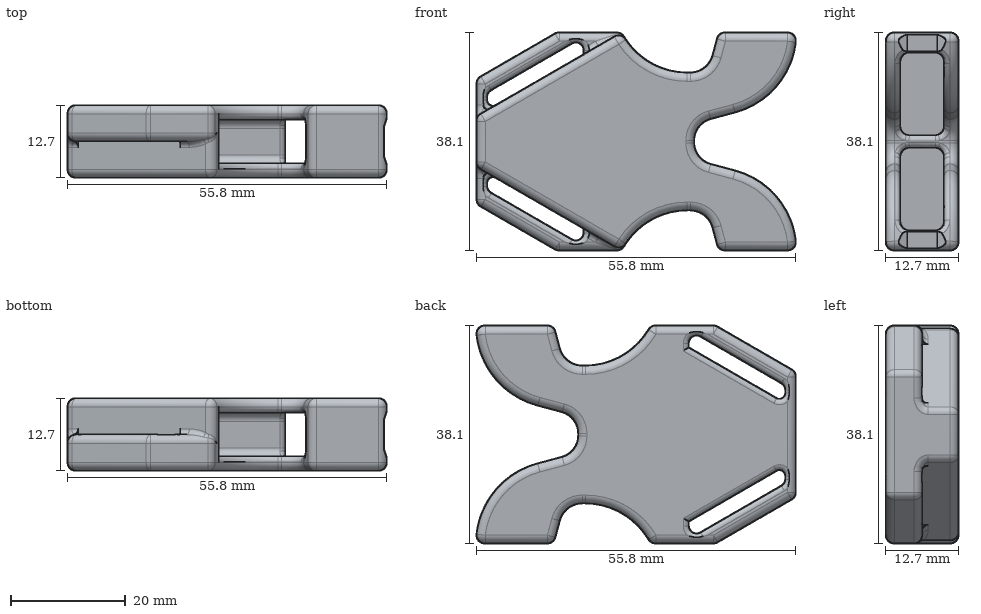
import cadquery as cq
import math

length = 55.8
thickness = 12.7
height = 38.1
half_height = height / 2
half_thickness = thickness / 2

edge_radius = 1.5
small_radius = 1.0
tolerance = 0.005

slope = math.radians(30)
frame_corner_x = 14.05
frame_corner_z = half_height - frame_corner_x * math.tan(slope)
core_corner_z = 4.4
core_strap_end = [(0, core_corner_z)]
frame_strap_end = [(0, frame_corner_z), (frame_corner_x, half_height)]
shoulder_x = (half_height - core_corner_z) / math.tan(slope)

blend_length = 4.45
blend_top_z = 7.8

slot_start_x = 1.9
slot_end_x = 18.7
rail_width = 3.0
slot_outer_radius = 1.35

lean = math.radians(15)
waist_z = 12.05
waist_start_x = 36.75
waist_end_x = 37.3
waist_radius = 4.0
hook_radius = 14.5
hook_center_x = length - edge_radius - math.sqrt((hook_radius - edge_radius) ** 2 - edge_radius**2)
hook_center = (hook_center_x, half_height)
hook_tip_x = hook_center_x + hook_radius
notch_x = 38.05
notch_radius = 3.8

hollow_half_width = 3.8
hollow_start_x = 26.4
hollow_roof_z = 15.5
web_half_height = 1.1

relief_depth = 0.5
relief_half_width = 4.15
relief_floor_half_width = 2.6


def arc_point(center, radius, angle):
    """Point on a circle in the XZ plane, angle measured from +X towards +Z."""
    return (center[0] + radius * math.cos(angle), center[1] + radius * math.sin(angle))


shoulder_run = waist_start_x - shoulder_x
shoulder_drop = half_height - waist_z
shoulder_radius = (shoulder_run**2 + shoulder_drop**2) / (2 * shoulder_drop)
shoulder_center = (waist_start_x, waist_z + shoulder_radius)
shoulder_sweep = math.asin(shoulder_run / shoulder_radius)
shoulder_mid = arc_point(shoulder_center, shoulder_radius, -(math.pi + shoulder_sweep) / 2)

waist_center = (waist_end_x, waist_z + waist_radius)
waist_mid = arc_point(waist_center, waist_radius, -(math.pi / 2 + lean) / 2)
waist_end = arc_point(waist_center, waist_radius, -lean)
prong_x = waist_end[0] + (half_height - waist_end[1]) * math.tan(lean)

hook_mid = arc_point(hook_center, hook_radius, -(math.pi / 2 - lean) / 2)
hook_end = arc_point(hook_center, hook_radius, lean - math.pi / 2)

notch_center_x = notch_x + notch_radius
notch_side_z = hook_end[1] - (hook_end[0] - notch_center_x) * math.tan(lean)
notch_center = (notch_center_x, notch_side_z - notch_radius / math.cos(lean))
notch_start = arc_point(notch_center, notch_radius, math.pi / 2 + lean)
notch_mid = arc_point(notch_center, notch_radius, (1.5 * math.pi + lean) / 2)


def slab(strap_end, front_y, back_y):
    """Sharp-edged slab between two Y planes; strap_end lists its outline points before the shoulder."""
    upper = (
        cq.Workplane("XZ", origin=(0, back_y, 0))
        .polyline([(0, 0)] + strap_end + [(shoulder_x, half_height)])
        .threePointArc(shoulder_mid, (waist_start_x, waist_z))
        .lineTo(waist_end_x, waist_z)
        .threePointArc(waist_mid, waist_end)
        .lineTo(prong_x, half_height)
        .lineTo(hook_tip_x, half_height)
        .threePointArc(hook_mid, hook_end)
        .lineTo(*notch_start)
        .threePointArc(notch_mid, (notch_x, notch_center[1]))
        .lineTo(notch_x, 0)
        .close()
        .extrude(back_y - front_y)
    )
    return upper.union(upper.mirror("XY")).clean()


def fillet_where(body, radius, selector, condition):
    """Fillet the selected edges whose centre point meets a condition."""
    edges = [edge for edge in body.edges(selector).vals() if condition(edge.Center())]
    return body.newObject(edges).fillet(radius)


def rounded_slab(strap_end, front_y, back_y):
    """Slab with its outline corners and the edges of both faces rounded."""
    corners = strap_end + [(shoulder_x, half_height), (prong_x, half_height), (hook_tip_x, half_height)]

    def is_corner(point):
        return any(math.hypot(point.x - x, abs(point.z) - z) < tolerance for x, z in corners)

    rounded = fillet_where(slab(strap_end, front_y, back_y), edge_radius, "|Y", is_corner)
    return rounded.faces("<Y or >Y").edges().fillet(edge_radius)


def core_face_z(x):
    """Height of the sloping upper face of the core."""
    return core_corner_z + x * math.tan(slope)


def is_on_core_face(point):
    """True when a point lies on the upper or lower sloping face of the core."""
    return abs(abs(point.z) - core_face_z(point.x)) < tolerance


def rail_z(x):
    """Height of the inner side of the upper frame rail."""
    return frame_corner_z + x * math.tan(slope) - rail_width / math.cos(slope)


def is_root(point):
    """True when a point lies on the corner between the frame front and the core."""
    return abs(point.y) < tolerance and is_on_core_face(point)


def corner_blend():
    """Fill at the upper strap end where the rounded edges of frame and core flow together."""
    reach = half_thickness - edge_radius
    frame_part = cq.Workplane("XY").box(blend_length, reach, blend_top_z, centered=False)
    core_part = (
        cq.Workplane("XZ", origin=(0, reach, 0))
        .polyline([(0, 0), (0, core_corner_z), (blend_length, core_face_z(blend_length)), (blend_length, 0)])
        .close()
        .extrude(2 * reach)
    )

    def is_core_corner(point):
        return point.x < tolerance and is_on_core_face(point)

    blend = fillet_where(frame_part.union(core_part), small_radius, "not |Y", is_root)
    return fillet_where(blend, edge_radius, "|Y", is_core_corner)


def flared_slot():
    """Upper strap slot as a solid, with flared mouths at both faces of the frame."""
    corners = [
        (slot_start_x, core_face_z(slot_start_x)),
        (slot_end_x, core_face_z(slot_end_x)),
        (slot_end_x, rail_z(slot_end_x)),
        (slot_start_x, rail_z(slot_start_x)),
    ]

    def is_on_rail(point):
        return not is_on_core_face(point)

    def is_narrow_end(point):
        return point.x < slot_start_x + tolerance and is_on_core_face(point)

    slot = cq.Workplane("XZ").polyline(corners).close().extrude(-half_thickness)
    slot = fillet_where(slot, slot_outer_radius, "|Y", is_on_rail)
    slot = fillet_where(slot, small_radius, "|Y", is_narrow_end)

    block = (
        cq.Workplane("XY", origin=(0, half_thickness / 2, 0))
        .box(2 * length, half_thickness, 2 * length)
    )

    def is_slot_rim(point):
        return 0 < point.x < shoulder_x and 0 < point.z < half_height

    return block.cut(fillet_where(block.cut(slot), small_radius, "#Y", is_slot_rim))


def slot_cutter():
    """Flared slot that also clears the root in front of the frame but spares the front of the core."""
    slot = flared_slot()
    front_mouth = (
        cq.Workplane("XZ")
        .add(slot.faces("<Y").wires().vals())
        .toPending()
        .extrude(small_radius)
    )
    core_guard = slab(core_strap_end, -half_thickness, half_thickness / 2)
    return slot.union(front_mouth).cut(core_guard)


def hollow():
    """Upper half of the hollow: open above the waist, roofed inside the prong, floored by the web."""

    def pocket(end_x, bottom_z, top_z):
        size = (end_x - hollow_start_x, 2 * hollow_half_width, top_z - bottom_z)
        corner = cq.Workplane("XY", origin=(hollow_start_x, 0, bottom_z))
        return corner.box(*size, centered=(False, True, False))

    prong_pocket = pocket(2 * length, web_half_height, hollow_roof_z).edges("|X").fillet(edge_radius)
    return prong_pocket.union(pocket(waist_end_x, waist_z, height))


def is_hollow_rim(point):
    """True on the outline edges of the hollow's side walls, false on the lines inside the hollow."""
    inner_lines = (web_half_height + edge_radius, hollow_roof_z - edge_radius)
    on_wall = abs(abs(point.y) - hollow_half_width) < tolerance
    inside = any(abs(abs(point.z) - z) < tolerance for z in inner_lines)
    return on_wall and not inside and point.x > hollow_start_x + tolerance


def tip_relief():
    """Prism that sinks the middle of both prong tips."""
    floor_x = length - relief_depth
    return (
        cq.Workplane("XY", origin=(0, 0, -half_height))
        .polyline(
            [
                (length, -relief_half_width),
                (floor_x, -relief_floor_half_width),
                (floor_x, relief_floor_half_width),
                (length, relief_half_width),
            ]
        )
        .close()
        .extrude(height)
    )


def cut_both(body, upper_cutter):
    """Cut a shape and its mirror image below z = 0."""
    return body.cut(upper_cutter).cut(upper_cutter.mirror("XY"))


frame = rounded_slab(frame_strap_end, 0, half_thickness)
core = rounded_slab(core_strap_end, -half_thickness, half_thickness)
result = fillet_where(frame.union(core), small_radius, "not |Y", is_root)
result = result.union(corner_blend()).union(corner_blend().mirror("XY"))

result = cut_both(result, slot_cutter())
result = cut_both(result, hollow())
result = fillet_where(result, small_radius, "not |Y", is_hollow_rim)
result = result.cut(tip_relief())